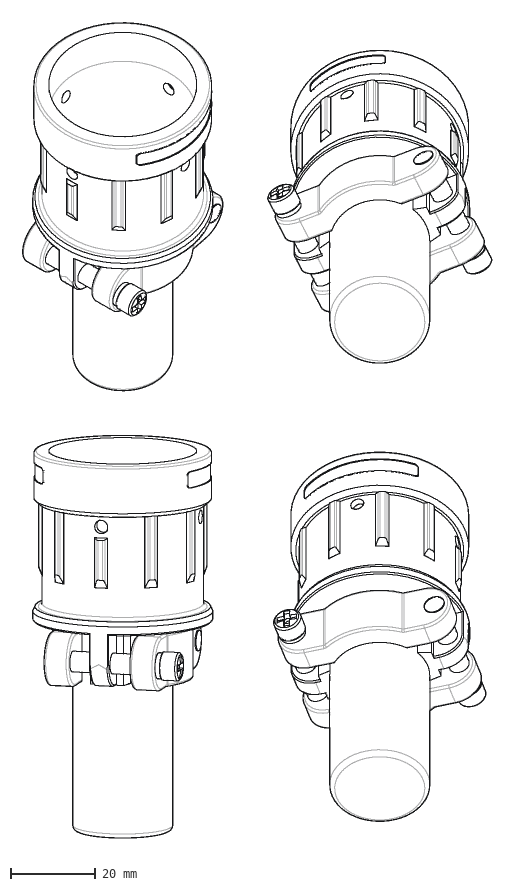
import cadquery as cq
import math

total_height = 91.35
tail_radius = 11.9
tail_fillet = 1.2
flange_radius = 21.4
flange_rim_radius = 20.8
flange_bottom_z = 50.6
flange_bevel_z = 52.8
flange_top_z = 53.9
flange_bottom_chamfer = 0.4
body_radius = 19.2
body_root_fillet = 0.8
collar_radius = 21.1
collar_bottom_radius = 19.9
collar_bottom_z = 78.9
collar_bevel_z = 80.0
collar_fillet = 0.55

bore_radius = 17.5
bore_floor_radius = 16.6
bore_taper_z = 81.7
bore_floor_z = flange_top_z
side_hole_diameter = 3.2
side_hole_z = 76.4

rib_count = 10
rib_start_angle = 18.0
rib_pitch_angle = 360.0 / rib_count
rib_height = 0.8
rib_base_width = 3.2
rib_top_width = 1.7
rib_edge_fillet = 0.6
rib_root_depth = 0.5
rib_bottom_z = 61.7
rib_ramp_length = 2.0
short_rib_top_z = 73.7
short_rib_top_bevel = 0.5

label_depth = 0.3
label_bottom_z = 84.9
label_height = 3.9
label_corner_radius = 0.9
label_width_left = 19.5
label_width_right = 28.1

lug_width = 4.75
lug_bottom_z = 37.45
lug_corner_radius = 6.1
lug_edge_chamfer = 0.4
pad_distance = 14.0
pad_half_width = 4.1
pad_root_distance = 10.8
pad_root_half_width = 4.9

clamp_center_z = 43.3
clamp_height = 12.9
clamp_length = 42.6
clamp_inner_x = 7.5
clamp_outer_x = 13.6
clamp_fillet = 0.55
saddle_radius = 16.7
saddle_root_fillet = 0.7

pick_margin = 0.1

screw_offset_y = 17.45
shank_radius = 2.5
shank_tip_x = 13.9
neck_radius = 3.1
head_radius = 3.4
head_inner_x = 14.8
head_outer_x = 19.0
head_dome_height = 0.3
head_chamfer = 0.5
cross_length = 4.8
cross_width = 1.5
cross_depth = 1.1
cross_center_radius = 0.8
cross_center_depth = 2.0


def disc(radius, bottom_z, top_z):
    """Upright cylinder on the part axis."""
    return cq.Workplane("XY").workplane(offset=bottom_z).circle(radius).extrude(top_z - bottom_z)


def make_shell():
    """Tail, flange, body and collar as one turned solid, still without the socket."""
    arc_offset = body_root_fillet * (1 - math.sqrt(0.5))
    shell = (
        cq.Workplane("XZ")
        .moveTo(0, 0)
        .lineTo(tail_radius, 0)
        .lineTo(tail_radius, flange_bottom_z)
        .lineTo(flange_radius - flange_bottom_chamfer, flange_bottom_z)
        .lineTo(flange_radius, flange_bottom_z + flange_bottom_chamfer)
        .lineTo(flange_radius, flange_bevel_z)
        .lineTo(flange_rim_radius, flange_top_z)
        .lineTo(body_radius + body_root_fillet, flange_top_z)
        .threePointArc(
            (body_radius + arc_offset, flange_top_z + arc_offset),
            (body_radius, flange_top_z + body_root_fillet),
        )
        .lineTo(body_radius, collar_bottom_z)
        .lineTo(collar_bottom_radius, collar_bottom_z)
        .lineTo(collar_radius, collar_bevel_z)
        .lineTo(collar_radius, total_height)
        .lineTo(0, total_height)
        .close()
        .revolve(360, (0, 0, 0), (0, 1, 0))
    )
    return shell.faces("<Z").edges().fillet(tail_fillet).faces(">Z").edges().fillet(collar_fillet)


def make_socket():
    """Straight bore that turns into a slight taper down to a flat floor."""
    return (
        cq.Workplane("XZ")
        .moveTo(0, bore_floor_z)
        .lineTo(bore_floor_radius, bore_floor_z)
        .lineTo(bore_radius, bore_taper_z)
        .lineTo(bore_radius, total_height)
        .lineTo(0, total_height)
        .close()
        .revolve(360, (0, 0, 0), (0, 1, 0))
    )


def make_side_holes():
    """Two crossing drillings through the body walls, along X and Y."""
    length = 2 * collar_radius
    holes = cq.Workplane("XY")
    for plane in ("XZ", "YZ"):
        drilling = cq.Workplane(plane).center(0, side_hole_z).circle(side_hole_diameter / 2)
        holes = holes.union(drilling.extrude(length / 2, both=True))
    return holes


def make_rib(top_z, top_bevel):
    """Rib on the +X side: trapezoid cross-section, trimmed to a ramp at the bottom."""
    top_radius = body_radius + rib_height
    root_radius = body_radius - rib_root_depth
    section = (
        cq.Workplane("XY")
        .workplane(offset=rib_bottom_z)
        .polyline([
            (root_radius, -rib_base_width / 2),
            (body_radius, -rib_base_width / 2),
            (top_radius, -rib_top_width / 2),
            (top_radius, rib_top_width / 2),
            (body_radius, rib_base_width / 2),
            (root_radius, rib_base_width / 2),
        ])
        .close()
        .extrude(top_z - rib_bottom_z)
        .faces(">X")
        .edges("|Z")
        .fillet(rib_edge_fillet)
    )
    side_profile = (
        cq.Workplane("XZ")
        .polyline([
            (root_radius, rib_bottom_z),
            (body_radius, rib_bottom_z),
            (top_radius, rib_bottom_z + rib_ramp_length),
            (top_radius, top_z - top_bevel),
            (body_radius, top_z),
            (root_radius, top_z),
        ])
        .close()
        .extrude(rib_base_width, both=True)
    )
    return section.intersect(side_profile)


def make_ribs():
    """Ribs at equal angles; those on the Y axis end below the side holes."""
    long_rib = make_rib(collar_bevel_z, 0)
    short_rib = make_rib(short_rib_top_z, short_rib_top_bevel)
    ribs = cq.Workplane("XY")
    for index in range(rib_count):
        angle = rib_start_angle + index * rib_pitch_angle
        on_y_axis = angle % 180 == 90
        rib = short_rib if on_y_axis else long_rib
        ribs = ribs.union(rib.rotate((0, 0, 0), (0, 0, 1), angle))
    return ribs


def make_label_recess(side, width):
    """Shallow rounded window wrapped on the collar; side is -1 for -X and 1 for +X."""
    ring = disc(collar_radius + label_depth, collar_bevel_z, total_height)
    ring = ring.cut(disc(collar_radius - label_depth, collar_bevel_z, total_height))
    window = (
        cq.Workplane("XY")
        .box(2 * collar_radius, width, label_height)
        .edges("|X")
        .fillet(label_corner_radius)
        .translate((side * collar_radius, 0, label_bottom_z + label_height / 2))
    )
    return ring.intersect(window)


def make_lugs():
    """Opposite lugs on -Y and +Y, flush with the flange rim, standing on tapered pads."""
    height = flange_bevel_z - lug_bottom_z
    plate = (
        cq.Workplane("XY")
        .box(lug_width, 2 * flange_radius, height, centered=(True, True, False))
        .translate((0, 0, lug_bottom_z))
        .edges("|X and <Z")
        .fillet(lug_corner_radius)
        .faces("<Y or >Y")
        .edges("|Z")
        .chamfer(lug_edge_chamfer)
        .intersect(disc(flange_radius, lug_bottom_z, flange_bevel_z))
    )
    pads = (
        cq.Workplane("XY")
        .workplane(offset=lug_bottom_z)
        .polyline([
            (-pad_half_width, -pad_distance),
            (pad_half_width, -pad_distance),
            (pad_root_half_width, -pad_root_distance),
            (pad_root_half_width, pad_root_distance),
            (pad_half_width, pad_distance),
            (-pad_half_width, pad_distance),
            (-pad_root_half_width, pad_root_distance),
            (-pad_root_half_width, -pad_root_distance),
        ])
        .close()
        .extrude(flange_bevel_z - lug_bottom_z)
    )
    return plate.union(pads)


def make_clamp_half():
    """Clamp half on the +X side: round-ended bar with a cylindrical saddle in its middle."""
    half_length = clamp_length / 2
    half_chord = math.sqrt(saddle_radius**2 - clamp_outer_x**2)
    plan = (
        cq.Workplane("XY")
        .moveTo(clamp_inner_x, -half_length)
        .lineTo(clamp_outer_x, -half_length)
        .lineTo(clamp_outer_x, -half_chord)
        .threePointArc((saddle_radius, 0), (clamp_outer_x, half_chord))
        .lineTo(clamp_outer_x, half_length)
        .lineTo(clamp_inner_x, half_length)
        .close()
        .extrude(total_height)
    )
    saddle_roots = cq.selectors.BoxSelector(
        (clamp_outer_x - pick_margin, -half_length + pick_margin, 0),
        (saddle_radius, half_length - pick_margin, total_height),
    )
    plan = plan.edges("|Z").edges(saddle_roots).fillet(saddle_root_fillet)
    side = (
        cq.Workplane("YZ")
        .center(0, clamp_center_z)
        .slot2D(clamp_length, clamp_height)
        .extrude(2 * saddle_radius)
    )
    half = plan.intersect(side)
    half = half.faces("<X").edges().fillet(clamp_fillet)
    outer_region = cq.selectors.BoxSelector(
        (clamp_outer_x - pick_margin, -clamp_length, 0), (2 * saddle_radius, clamp_length, total_height)
    )
    return half.edges(outer_region).edges("not |Z").fillet(clamp_fillet)


def make_screw():
    """Cross-head screw on the -Y side, with its head toward +X."""
    face_radius = head_radius - head_chamfer
    dome_radius = (face_radius**2 + head_dome_height**2) / (2 * head_dome_height)
    dome_mid_y = face_radius / 2
    dome_mid_drop = dome_radius - math.sqrt(dome_radius**2 - dome_mid_y**2)
    dome_tip_x = head_outer_x + head_dome_height
    screw = (
        cq.Workplane("XY")
        .moveTo(-shank_tip_x, 0)
        .lineTo(-shank_tip_x, shank_radius)
        .lineTo(clamp_outer_x, shank_radius)
        .lineTo(clamp_outer_x, neck_radius)
        .lineTo(head_inner_x, neck_radius)
        .lineTo(head_inner_x, head_radius)
        .lineTo(head_outer_x - head_chamfer, head_radius)
        .lineTo(head_outer_x, face_radius)
        .threePointArc((dome_tip_x - dome_mid_drop, dome_mid_y), (dome_tip_x, 0))
        .close()
        .revolve(360, (0, 0, 0), (1, 0, 0))
    )
    face = cq.Workplane("YZ").workplane(offset=dome_tip_x)
    screw = screw.cut(face.rect(cross_length, cross_width).extrude(-cross_depth))
    screw = screw.cut(face.rect(cross_width, cross_length).extrude(-cross_depth))
    screw = screw.cut(face.circle(cross_center_radius).extrude(-cross_center_depth))
    return screw.translate((0, -screw_offset_y, clamp_center_z))


shell = make_shell().union(make_ribs()).union(make_lugs())
for half_turn in (0, 180):
    for fitting in (make_clamp_half(), make_screw()):
        shell = shell.union(fitting.rotate((0, 0, 0), (0, 0, 1), half_turn))

result = (
    shell
    .cut(make_socket())
    .cut(make_side_holes())
    .cut(make_label_recess(-1, label_width_left))
    .cut(make_label_recess(1, label_width_right))
)